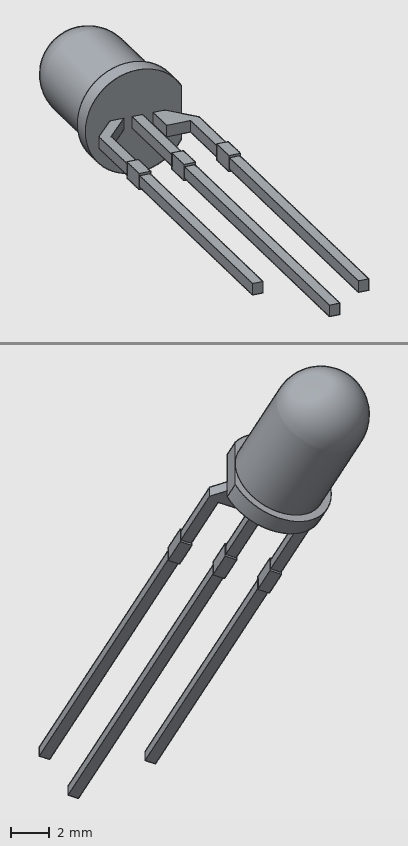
import cadquery as cq

overall_length = 33.1
lens_radius = 2.5
lens_length = 8.6
flange_radius = 2.95
flange_thickness = 1.0
flat_offset = lens_radius

lead_pitch = 2.55
lead_width = 0.6
lead_height = 0.65
lead_end_step = 2.0
center_lead_end = overall_length
upper_lead_end = center_lead_end - lead_end_step
lower_lead_end = upper_lead_end - lead_end_step

collar_start = lens_length + 5.0
collar_length = 1.52
collar_width = 0.65
collar_height = 0.93

bend_outer_x = lens_length + 1.45
bend_inner_x = lens_length + 1.7
bend_root_outer = 1.55
bend_root_inner = 0.75
tab_inner = 0.9
lead_outer = lead_pitch + lead_width / 2
lead_inner = lead_pitch - lead_width / 2


def make_lens():
    """Revolve the dome, barrel and flange, then cut the flat on the +Y side."""
    flange_start = lens_length - flange_thickness
    dome_mid = lens_radius * (1 - 0.5 ** 0.5)
    profile = (
        cq.Workplane("XY")
        .moveTo(0, 0)
        .threePointArc((dome_mid, lens_radius - dome_mid), (lens_radius, lens_radius))
        .lineTo(flange_start, lens_radius)
        .lineTo(flange_start, flange_radius)
        .lineTo(lens_length, flange_radius)
        .lineTo(lens_length, 0)
        .close()
    )
    body = profile.revolve(360, (0, 0, 0), (1, 0, 0))
    flat_cut = cq.Workplane("XY").box(
        flange_thickness, flange_radius, 2 * flange_radius, centered=(False, False, True)
    ).translate((flange_start, flat_offset, 0))
    return body.cut(flat_cut)


def make_lead(outline, center_y):
    """Extrude a lead outline about Z = 0 and thicken it at the collar."""
    wire = cq.Workplane("XY").polyline(outline).close().extrude(lead_height / 2, both=True)
    collar = cq.Workplane("XY").box(
        collar_length, collar_width, collar_height, centered=(False, True, True)
    ).translate((collar_start, center_y, 0))
    return wire.union(collar)


def make_center_lead():
    """Straight lead on the lens axis."""
    half_width = lead_width / 2
    outline = [
        (lens_length, -half_width),
        (center_lead_end, -half_width),
        (center_lead_end, half_width),
        (lens_length, half_width),
    ]
    return make_lead(outline, 0)


def make_upper_lead():
    """Lead on the +Y side, with a wide tab filling the inside of its bend."""
    outline = [
        (lens_length, bend_root_outer),
        (bend_outer_x, lead_outer),
        (upper_lead_end, lead_outer),
        (upper_lead_end, lead_inner),
        (bend_inner_x, lead_inner),
        (bend_inner_x, tab_inner),
        (lens_length, tab_inner),
    ]
    return make_lead(outline, lead_pitch)


def make_lower_lead():
    """Lead on the -Y side, bent outward at constant width."""
    outline = [
        (lens_length, -bend_root_outer),
        (bend_outer_x, -lead_outer),
        (lower_lead_end, -lead_outer),
        (lower_lead_end, -lead_inner),
        (bend_inner_x, -lead_inner),
        (lens_length, -bend_root_inner),
    ]
    return make_lead(outline, -lead_pitch)


lens = make_lens()
center_lead = make_center_lead()
upper_lead = make_upper_lead()
lower_lead = make_lower_lead()

result = cq.Compound.makeCompound(
    [lens.val(), center_lead.val(), upper_lead.val(), lower_lead.val()]
)